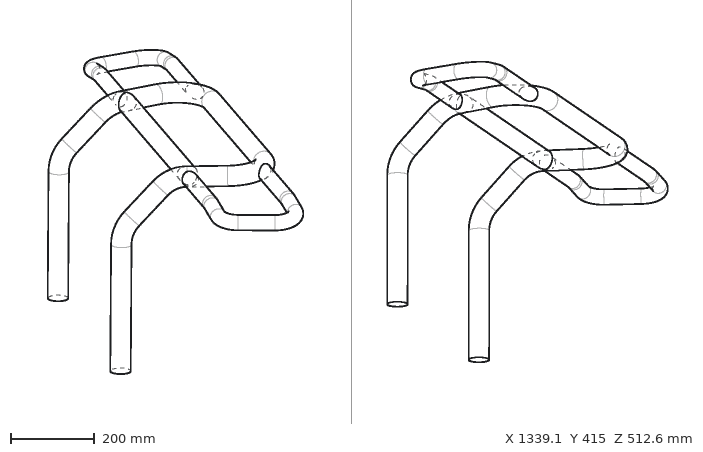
import cadquery as cq
import math

OVERALL_LENGTH = 1339.0

HOOP_DIAMETER = 50.0
CROSSBAR_DIAMETER = 47.0
WING_DIAMETER = 37.0

HOOP_BEND_RADIUS = 88.0
ARM_ANGLE = 15.0
BACK_BAR_Y = 203.0
BACK_BAR_HALF_LENGTH = 238.0
KNEE_Y = -37.0
LEG_Y = -160.0
SLOPE_ANGLE = 45.0
LEG_BOTTOM_Y = -162.0
LEG_BOTTOM_Z = -479.0

CROSSBAR_Y = 5.0

WING_BEND_RADIUS = 50.0
DROOP_BEND_RADIUS = 88.0
DROOP_ANGLE = 8.3
WING_FRONT_Y = 0.0
WING_BACK_Y = 185.0
DROOP_FRONT_X = 513.0
DROOP_BACK_X = 537.0

FRAME_PITCH = 1.0
ROLL = 0.5

ARM_TAN = math.tan(math.radians(ARM_ANGLE))
ARM_COS = math.cos(math.radians(ARM_ANGLE))


def frame_z(y):
    """Height of the slightly pitched frame plane at a given Y."""
    return y * math.tan(math.radians(FRAME_PITCH))


def bent_path(corners, radii):
    """Wire through the corner points, with every inner corner rounded to its radius."""
    points = [cq.Vector(*corner) for corner in corners]
    edges = []
    start = points[0]
    for before, corner, after, radius in zip(points, points[1:], points[2:], radii):
        to_before = (before - corner).normalized()
        to_after = (after - corner).normalized()
        half_angle = to_before.getAngle(to_after) / 2
        setback = radius / math.tan(half_angle)
        bisector = (to_before + to_after).normalized()
        arc_start = corner + to_before * setback
        arc_middle = corner + bisector * (radius / math.sin(half_angle) - radius)
        arc_end = corner + to_after * setback
        edges.append(cq.Edge.makeLine(start, arc_start))
        edges.append(cq.Edge.makeThreePointArc(arc_start, arc_middle, arc_end))
        start = arc_end
    edges.append(cq.Edge.makeLine(start, points[-1]))
    return cq.Wire.assembleEdges(edges)


def bent_rod(corners, radii, diameter):
    """Round rod along a bent path."""
    start = cq.Vector(*corners[0])
    direction = cq.Vector(*corners[1]) - start
    profile = cq.Workplane(cq.Plane(origin=start, normal=direction)).circle(diameter / 2)
    return profile.sweep(cq.Workplane(bent_path(corners, radii)))


HOOP_CORNER_X = BACK_BAR_HALF_LENGTH + HOOP_BEND_RADIUS * math.tan(math.radians(90 + ARM_ANGLE) / 2)


def arm_x(y):
    """X of the straight +X arm's centre line at a given Y."""
    return HOOP_CORNER_X - (BACK_BAR_Y - y) * ARM_TAN


def make_hoop():
    """Back bar, arms and legs bent from one rod."""
    knee_x = arm_x(KNEE_Y)
    knee_z = frame_z(KNEE_Y)
    ankle_z = knee_z - (KNEE_Y - LEG_Y) * math.tan(math.radians(SLOPE_ANGLE))
    half = [
        (knee_x, LEG_BOTTOM_Y, LEG_BOTTOM_Z),
        (knee_x, LEG_Y, ankle_z),
        (knee_x, KNEE_Y, knee_z),
        (HOOP_CORNER_X, BACK_BAR_Y, frame_z(BACK_BAR_Y)),
    ]
    mirrored_half = [(-x, y, z) for x, y, z in reversed(half)]
    corners = half + mirrored_half
    return bent_rod(corners, [HOOP_BEND_RADIUS] * (len(corners) - 2), HOOP_DIAMETER)


def make_crossbar(hoop):
    """Straight bar between the arms, its ends fitted to their round surfaces."""
    half_length = arm_x(CROSSBAR_Y)
    bar = (
        cq.Workplane("YZ", origin=(-half_length, CROSSBAR_Y, frame_z(CROSSBAR_Y)))
        .circle(CROSSBAR_DIAMETER / 2)
        .extrude(2 * half_length)
    )
    return bar.cut(hoop)


def make_wing(hoop, side):
    """Side loop on the +X (side = 1) or -X (side = -1) side, its ends fitted to the hoop."""
    droop_tan = math.tan(math.radians(DROOP_ANGLE))
    front_z = frame_z(WING_FRONT_Y)
    back_z = frame_z(WING_BACK_Y)

    wing_bend_x = (OVERALL_LENGTH - WING_DIAMETER) / 2 - WING_BEND_RADIUS
    wing_bend_y = WING_BACK_Y - WING_BEND_RADIUS
    outer_arm_x = wing_bend_x + WING_BEND_RADIUS / ARM_COS
    corner_front_x = outer_arm_x - (wing_bend_y - WING_FRONT_Y) * ARM_TAN
    corner_back_x = outer_arm_x + (WING_BACK_Y - wing_bend_y) * ARM_TAN

    hoop_bend_y = BACK_BAR_Y - HOOP_BEND_RADIUS
    back_end_x = BACK_BAR_HALF_LENGTH + math.sqrt(HOOP_BEND_RADIUS**2 - (WING_BACK_Y - hoop_bend_y) ** 2)

    corners = [
        (arm_x(WING_FRONT_Y), WING_FRONT_Y, front_z),
        (DROOP_FRONT_X, WING_FRONT_Y, front_z),
        (corner_front_x, WING_FRONT_Y, front_z - (corner_front_x - DROOP_FRONT_X) * droop_tan),
        (corner_back_x, WING_BACK_Y, back_z - (corner_back_x - DROOP_BACK_X) * droop_tan),
        (DROOP_BACK_X, WING_BACK_Y, back_z),
        (back_end_x, WING_BACK_Y, back_z),
    ]
    radii = [DROOP_BEND_RADIUS, WING_BEND_RADIUS, WING_BEND_RADIUS, DROOP_BEND_RADIUS]
    loop = bent_rod([(side * x, y, z) for x, y, z in corners], radii, WING_DIAMETER)
    return loop.cut(hoop)


hoop = make_hoop()
crossbar = make_crossbar(hoop)
wings = [make_wing(hoop, side) for side in (-1, 1)]

guard = [hoop, crossbar, *wings]
rolled_guard = [body.rotate((0, 0, 0), (0, 1, 0), ROLL) for body in guard]
result = cq.Compound.makeCompound([body.val() for body in rolled_guard])